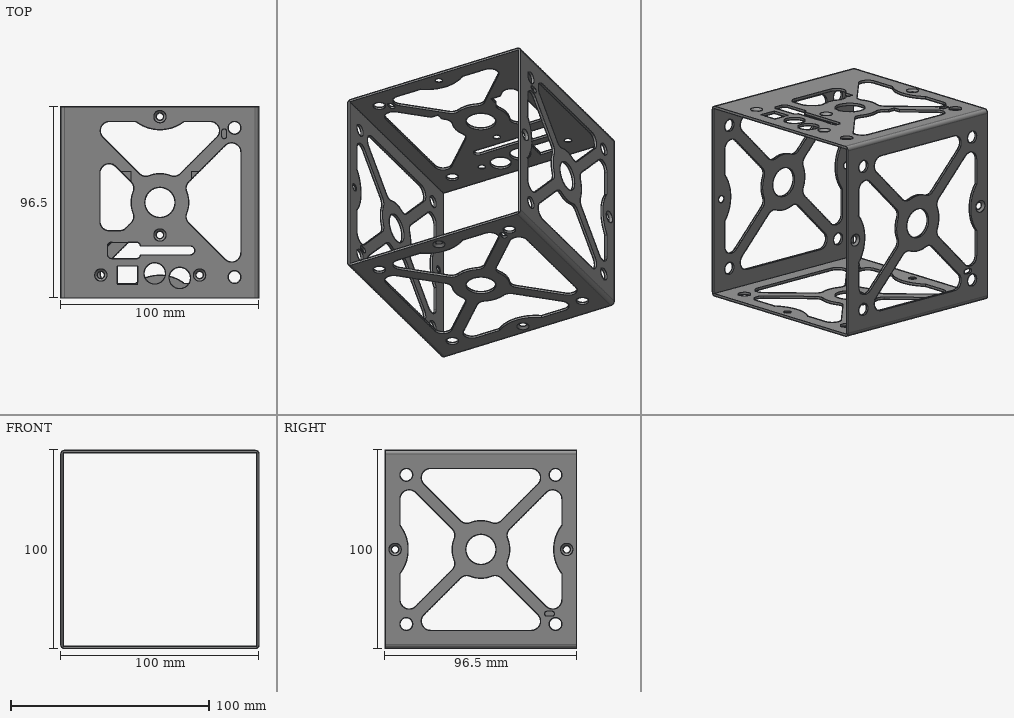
import cadquery as cq
import math

size = 100.0
depth = 96.5
wall = 1.3
bend_radius = 2.0

corner_hole_diameter = 6.3
corner_hole_offset = 37.6
frame_half = corner_hole_offset + corner_hole_diameter / 2
strut_width = 6.0
strut_offset = strut_width / math.sqrt(2)
hub_diameter = 29.2
hub_hole_diameter = 15.1
tip_radius = 4.6
hub_corner_radius = 4.5
key_slot_length = 5.0
key_slot_width = 2.5
key_slot_x = 32.4
key_slot_y = 34.6

screw_diameter = 3.6
screw_head_diameter = screw_diameter + 2 * wall
screw_edge_distance = 5.0
screw_y = depth / 2 - screw_edge_distance
bump_radius = 20.0
bump_distance = 36.6

panel_screws = [(0, -16.4), (-29.8, -36.6), (20.0, -36.6)]
short_window_x = -30.2
short_window_y = -14.2
notch_left_x = -14.7
notch_right_x = 16.0
notch_top_y = 15.7
notch_size = 6.0
switch_slot_y = -24.2
switch_head_left = -26.4
switch_head_length = 16.5
switch_head_width = 8.2
switch_head_radius = 2.0
switch_slot_right = 17.5
switch_slot_width = 4.4
socket_center = (-16.4, -36.7)
socket_width = 10.2
socket_height = 9.2
button_diameter = 10.7
button_centers = [(-2.6, -35.8), (10.0, -38.1)]

inner_face = size / 2 - wall

hub_radius = hub_diameter / 2
hub_corner_far = (strut_offset + math.sqrt(2 * hub_radius**2 - strut_offset**2)) / 2
hub_corner_near = hub_corner_far - strut_offset


def panel_plane():
    return cq.Workplane("XY", origin=(0, 0, inner_face))


def round_hole(diameter, centers):
    return panel_plane().pushPoints(centers).circle(diameter / 2).extrude(wall)


def long_slot(x, y, length, width, angle=0):
    return panel_plane().center(x, y).slot2D(length, width, angle).extrude(wall)


def rectangle(x, y, width, height):
    return panel_plane().center(x, y).rect(width, height).extrude(wall)


def screw_hole(x, y):
    narrow = panel_plane().center(x, y).circle(screw_diameter / 2)
    return narrow.workplane(offset=wall).circle(screw_head_diameter / 2).loft()


def window(direction):
    """Opening between two struts, the hub and the frame, facing `direction` degrees from +X."""
    half_span = frame_half - strut_offset
    opening = (
        panel_plane()
        .moveTo(hub_corner_far, -hub_corner_near)
        .lineTo(frame_half, -half_span)
        .lineTo(frame_half, half_span)
        .lineTo(hub_corner_far, hub_corner_near)
        .threePointArc((hub_radius, 0), (hub_corner_far, -hub_corner_near))
        .close()
        .extrude(wall)
    )
    opening = opening.edges("|Z and >X").fillet(tip_radius)
    opening = opening.edges("|Z and <X").fillet(hub_corner_radius)
    return opening.rotate((0, 0, 0), (0, 0, 1), direction)


def bumped_window(direction):
    """Window whose frame edge bulges inward around a screw hole."""
    bump = panel_plane().center(bump_distance + bump_radius, 0).circle(bump_radius).extrude(wall)
    return window(direction).cut(bump.rotate((0, 0, 0), (0, 0, 1), direction))


def short_window():
    """Window on the -X side of the top panel, cut short to leave room for the controls."""
    strut_foot_x = short_window_y - strut_offset
    opening = (
        panel_plane()
        .moveTo(-hub_corner_far, hub_corner_near)
        .lineTo(short_window_x, -short_window_x - strut_offset)
        .lineTo(short_window_x, short_window_y)
        .lineTo(strut_foot_x, short_window_y)
        .lineTo(-hub_corner_far, -hub_corner_near)
        .threePointArc((-hub_radius, 0), (-hub_corner_far, hub_corner_near))
        .close()
        .extrude(wall)
    )
    opening = opening.edges("|Z and >X").fillet(hub_corner_radius)
    opening = opening.edges("|Z and <X").fillet(tip_radius)
    strut_foot_point = (strut_foot_x, short_window_y, inner_face + wall / 2)
    strut_foot = cq.selectors.NearestToPointSelector(strut_foot_point)
    return opening.edges("|Z").edges(strut_foot).fillet(tip_radius)


def common_openings(corner_columns):
    """Hub hole, key slot and corner holes in the columns at the given X positions."""
    corners = [(x, y) for x in corner_columns for y in (-corner_hole_offset, corner_hole_offset)]
    return [
        round_hole(hub_hole_diameter, [(0, 0)]),
        round_hole(corner_hole_diameter, corners),
        long_slot(key_slot_x, key_slot_y, key_slot_length, key_slot_width, 90),
    ]


def plain_panel_openings():
    openings = common_openings([-corner_hole_offset, corner_hole_offset])
    openings += [window(0), window(180), bumped_window(90), bumped_window(-90)]
    openings += [screw_hole(0, screw_y), screw_hole(0, -screw_y)]
    return openings


def switch_slot():
    """Wide head with rounded corners that continues as a narrow slot toward +X."""
    head_center = switch_head_left + switch_head_length / 2
    head = rectangle(head_center, switch_slot_y, switch_head_length, switch_head_width)
    head = head.edges("|Z").fillet(switch_head_radius)
    slot_center = (head_center + switch_slot_right) / 2
    slot_length = switch_slot_right - head_center
    return head.union(long_slot(slot_center, switch_slot_y, slot_length, switch_slot_width))


def control_panel_openings():
    openings = common_openings([corner_hole_offset])
    openings += [window(0), bumped_window(90), short_window()]
    openings += [screw_hole(x, y) for x, y in [(0, screw_y)] + panel_screws]

    notch_center_y = notch_top_y - notch_size / 2
    for notch_center_x in (notch_left_x - notch_size / 2, notch_right_x + notch_size / 2):
        openings.append(rectangle(notch_center_x, notch_center_y, notch_size, notch_size))

    openings.append(switch_slot())
    openings.append(rectangle(*socket_center, socket_width, socket_height))
    openings.append(round_hole(button_diameter, button_centers))
    return openings


def tube():
    outer = cq.Workplane("XY").box(size, depth, size).edges("|Y").fillet(bend_radius)
    return outer.cut(cq.Workplane("XY").box(size - 2 * wall, depth, size - 2 * wall))


result = tube()
for opening in control_panel_openings():
    result = result.cut(opening)

for turn in (90, 180, 270):
    for opening in plain_panel_openings():
        result = result.cut(opening.rotate((0, 0, 0), (0, 1, 0), turn))